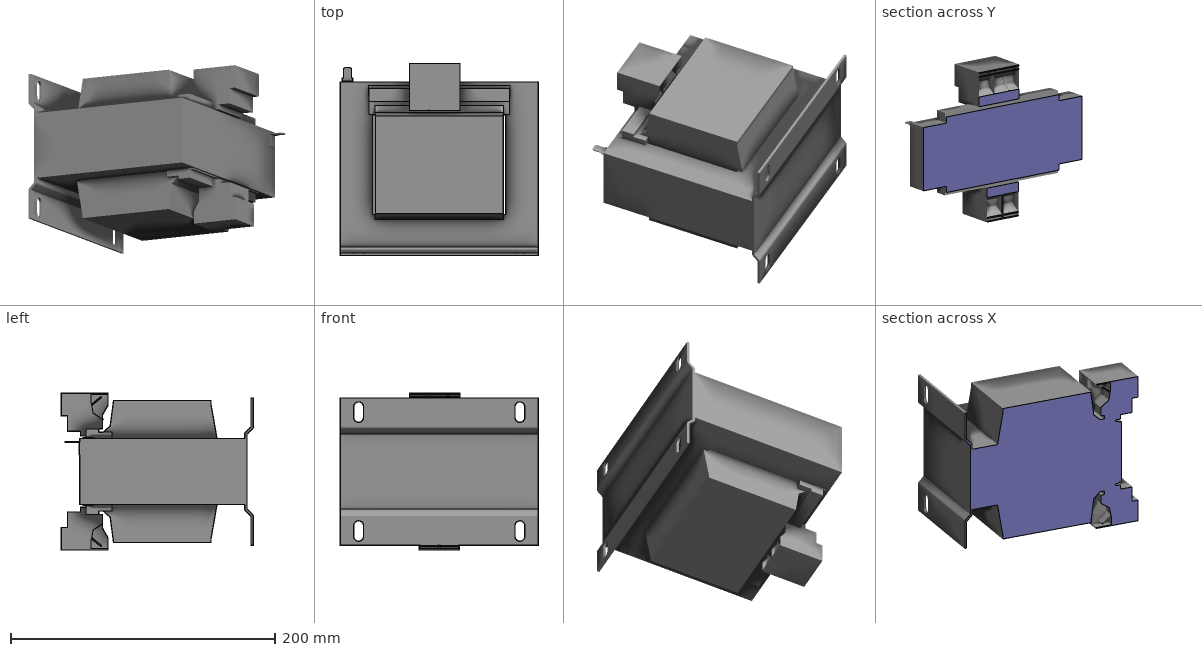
import cadquery as cq
import math


WIDTH = 150.0
CORE_DEPTH = 125.0
CORE_HALF_HEIGHT = 25.0
WINDOW_HALF_WIDTH = 50.2
WINDOW_FRONT = 24.8
WINDOW_BACK = 100.0

COIL_HALF_WIDTH = 48.5
COIL_HALF_HEIGHT = 53.8
COIL_TOP_FRONT = 25.4
COIL_TOP_BAND = 3.2
COIL_TOP_BACK = 99.3
COIL_BASE_FRONT = 20.8
COIL_SHOULDER_BACK = 101.8
COIL_SHOULDER_Z = 34.5
COIL_LIP_BACK = 107.1

RAIL_HALF_WIDTH = 53.2
RAIL_FRONT = 100.4
RAIL_STEP = 110.2
RAIL_BACK = 120.0
RAIL_LOW_Z = 29.8
RAIL_TOP_Z = 32.4
STRIP_HALF_WIDTH = 53.5
STRIP_FRONT = 114.3
STRIP_BACK = 122.4
STRIP_THICKNESS = 0.8

SHEET = 2.0
BRACKET_HALF_HEIGHT = 55.8
BRACKET_DEPTH = 6.6
BEND_Z = 28.4
BEND_ANGLE = 45.0
BEND_RADIUS = 2.5
SLOT_WIDTH = 7.2
SLOT_LENGTH = 15.3
SLOT_X = 61.0
SLOT_Z = 45.0

TERMINAL_BACK = 138.9
TERMINAL_FRONT = 103.4
TERMINAL_HALF_SPAN = 119.0 / 2
TERMINAL_WAIST = 107.5
TERMINAL_FOOT_BACK = 124.4
TERMINAL_FOOT_Z = 26.8
TERMINAL_HEEL_BACK = 134.1
TERMINAL_HEEL_Z = 30.5
TERMINAL_SHELF_Z = 42.2
NOSE_Z = 50.1
NOSE_BASE_Z = 42.9
POCKET_WALL = 0.6
POCKET_TOP_Z = 58.4
POCKET_BACK = 116.2
POCKET_KNEE_Z = 52.4
POCKET_FLOOR_BACK = 114.6
POCKET_FLOOR_Z = 44.2
POCKET_FLOOR_FRONT_Z = 39.5
LEVER_TIP_Y = 108.3
LEVER_TIP_Z = 56.0
LEVER_ROOT_Z = 49.5
LEVER_THICKNESS = 0.9
RIB_WIDTH = 1.2
RIB_HEIGHT = 0.6
UPPER_BAYS = [(-22.6, -7.8), (-7.8, 15.8)]
UPPER_RIBS = [6.8]
LOWER_BAYS = [(-15.2, 0.0), (0.0, 15.2)]

LUG_X = -69.5
LUG_WIDTH = 6.3
LUG_ROOT_WIDTH = 8.1
LUG_ROOT_LENGTH = 3.0
LUG_LENGTH = 11.0
LUG_THICKNESS = 0.6
LUG_TOP_Z = 22.6
LUG_BOTTOM_Z = 12.9
LUG_CHAMFER = 1.2


def box(x_range, y_range, z_range):
    """Axis-aligned box between the given limits."""
    size = [high - low for low, high in (x_range, y_range, z_range)]
    corner = (x_range[0], y_range[0], z_range[0])
    return cq.Workplane("XY").box(*size, centered=False).translate(corner)


def prism(points, x_start, x_end):
    """Extrude a closed (Y, Z) outline from x_start to x_end."""
    plane = cq.Workplane("YZ").workplane(offset=x_start)
    return plane.polyline(points).close().extrude(x_end - x_start)


def mirrored(solid):
    """Join a solid with its mirror image below the mid-plane."""
    return solid.union(solid.mirror("XY"))


def make_core():
    half = WIDTH / 2
    heights = (-CORE_HALF_HEIGHT, CORE_HALF_HEIGHT)
    window_width = (-WINDOW_HALF_WIDTH, WINDOW_HALF_WIDTH)
    core = box((-half, half), (0, CORE_DEPTH), heights)
    return core.cut(box(window_width, (WINDOW_FRONT, WINDOW_BACK), heights))


def make_coil():
    upper_half = [
        (COIL_BASE_FRONT, 0),
        (COIL_BASE_FRONT, CORE_HALF_HEIGHT),
        (COIL_TOP_FRONT, COIL_HALF_HEIGHT - COIL_TOP_BAND),
        (COIL_TOP_FRONT, COIL_HALF_HEIGHT),
        (COIL_TOP_BACK, COIL_HALF_HEIGHT),
        (COIL_SHOULDER_BACK, COIL_SHOULDER_Z),
        (COIL_LIP_BACK, RAIL_LOW_Z),
        (COIL_LIP_BACK, 0),
    ]
    return mirrored(prism(upper_half, -COIL_HALF_WIDTH, COIL_HALF_WIDTH))


def make_rails():
    outline = [
        (RAIL_FRONT, CORE_HALF_HEIGHT),
        (RAIL_FRONT, RAIL_LOW_Z),
        (RAIL_STEP, RAIL_LOW_Z),
        (RAIL_STEP, RAIL_TOP_Z),
        (RAIL_BACK, RAIL_TOP_Z),
        (RAIL_BACK, CORE_HALF_HEIGHT),
    ]
    rail = prism(outline, -RAIL_HALF_WIDTH, RAIL_HALF_WIDTH)
    strip = box(
        (-STRIP_HALF_WIDTH, STRIP_HALF_WIDTH),
        (STRIP_FRONT, STRIP_BACK),
        (CORE_HALF_HEIGHT, CORE_HALF_HEIGHT + STRIP_THICKNESS),
    )
    return mirrored(rail.union(strip))


def make_bracket():
    miter = SHEET * math.tan(math.radians(BEND_ANGLE / 2))
    offset = BRACKET_DEPTH - SHEET
    flange_z = BEND_Z + offset / math.tan(math.radians(BEND_ANGLE))
    upper_half = [
        (0, 0),
        (0, BEND_Z + miter),
        (-offset, flange_z + miter),
        (-offset, BRACKET_HALF_HEIGHT),
        (-BRACKET_DEPTH, BRACKET_HALF_HEIGHT),
        (-BRACKET_DEPTH, flange_z),
        (-SHEET, BEND_Z),
        (-SHEET, 0),
    ]
    half = prism(upper_half, -WIDTH / 2, WIDTH / 2)
    for y, z in ((0, BEND_Z + miter), (-BRACKET_DEPTH, flange_z)):
        half = half.edges(cq.NearestToPointSelector((0, y, z))).fillet(BEND_RADIUS)
    slots = (
        cq.Workplane("XZ")
        .pushPoints([(-SLOT_X, SLOT_Z), (SLOT_X, SLOT_Z)])
        .slot2D(SLOT_LENGTH, SLOT_WIDTH, angle=90)
        .extrude(BRACKET_DEPTH)
    )
    return mirrored(half.cut(slots))


def make_terminal_block(bays, ribs=()):
    """Terminal block above the core, with one wire pocket and lever per bay.

    A low rib lines the back of a pocket at each X position in ribs.
    """
    housing_outline = [
        (TERMINAL_BACK, TERMINAL_HALF_SPAN),
        (TERMINAL_FRONT, TERMINAL_HALF_SPAN),
        (TERMINAL_FRONT, NOSE_Z),
        (TERMINAL_WAIST, NOSE_BASE_Z),
        (TERMINAL_WAIST, RAIL_TOP_Z),
        (RAIL_BACK, RAIL_TOP_Z),
        (RAIL_BACK, TERMINAL_FOOT_Z),
        (TERMINAL_FOOT_BACK, TERMINAL_FOOT_Z),
        (TERMINAL_FOOT_BACK, TERMINAL_HEEL_Z),
        (TERMINAL_HEEL_BACK, TERMINAL_HEEL_Z),
        (TERMINAL_HEEL_BACK, TERMINAL_SHELF_Z),
        (TERMINAL_BACK, TERMINAL_SHELF_Z),
    ]
    pocket_outline = [
        (TERMINAL_FRONT, POCKET_TOP_Z),
        (POCKET_BACK, POCKET_TOP_Z),
        (POCKET_BACK, POCKET_KNEE_Z),
        (POCKET_FLOOR_BACK, POCKET_FLOOR_Z),
        (TERMINAL_WAIST, POCKET_FLOOR_FRONT_Z),
        (TERMINAL_FRONT, POCKET_FLOOR_FRONT_Z),
    ]
    lean = math.atan2(LEVER_TIP_Z - LEVER_ROOT_Z, POCKET_BACK - LEVER_TIP_Y)
    shift_y = LEVER_THICKNESS * math.sin(lean)
    shift_z = LEVER_THICKNESS * math.cos(lean)
    lever_outline = [
        (POCKET_BACK, LEVER_ROOT_Z),
        (LEVER_TIP_Y, LEVER_TIP_Z),
        (LEVER_TIP_Y + shift_y, LEVER_TIP_Z + shift_z),
        (POCKET_BACK + shift_y, LEVER_ROOT_Z + shift_z),
    ]
    block = prism(housing_outline, bays[0][0], bays[-1][1])
    for left, right in bays:
        inner = (left + POCKET_WALL, right - POCKET_WALL)
        block = block.cut(prism(pocket_outline, *inner))
        block = block.union(prism(lever_outline, *inner))
    for x in ribs:
        rib = prism(pocket_outline, x - RIB_WIDTH / 2, x + RIB_WIDTH / 2)
        block = block.union(rib.cut(rib.translate((0, -RIB_HEIGHT, 0))))
    return block


def make_earth_lug():
    def across(width):
        return (LUG_X - width / 2, LUG_X + width / 2)

    blade_z = (LUG_TOP_Z - LUG_THICKNESS, LUG_TOP_Z)
    blade = box(across(LUG_WIDTH), (CORE_DEPTH, CORE_DEPTH + LUG_LENGTH), blade_z)
    blade = blade.edges("|Z and >Y").chamfer(LUG_CHAMFER)
    root = box(across(LUG_ROOT_WIDTH), (CORE_DEPTH, CORE_DEPTH + LUG_ROOT_LENGTH), blade_z)
    leg = box(
        across(LUG_ROOT_WIDTH),
        (CORE_DEPTH, CORE_DEPTH + LUG_THICKNESS),
        (LUG_BOTTOM_Z, LUG_TOP_Z),
    )
    return blade.union(root).union(leg)


result = (
    make_core()
    .union(make_coil())
    .union(make_rails())
    .union(make_bracket())
    .union(make_terminal_block(UPPER_BAYS, UPPER_RIBS))
    .union(make_terminal_block(LOWER_BAYS).mirror("XY"))
    .union(make_earth_lug())
)